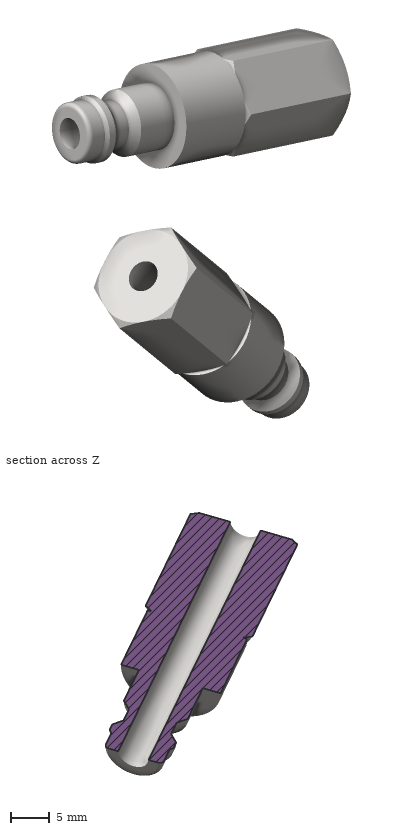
import cadquery as cq
import math

overall_length = 42.0
hex_length = 18.0
collar_length = 10.0
hex_across_flats = 13.0
hex_chamfer_angle = 30.0
bore_diameter = 4.2

collar_radius = 7.0
stem_radius = 4.5
neck_radius = 3.35
tip_radius = 4.1
tip_fillet = 0.6

tip_end = 2.6
flange_start = 3.1
flange_end = 4.1
stem_start = 8.4
neck_depth = stem_radius - neck_radius
neck_start = flange_end + neck_depth
neck_end = stem_start - neck_depth
hex_start = overall_length - hex_length
collar_start = hex_start - collar_length

hex_sides = 6
hex_across_corners = hex_across_flats / math.cos(math.pi / hex_sides)
hex_chamfer_height = (hex_across_corners - hex_across_flats) / 2 * math.tan(math.radians(hex_chamfer_angle))


def revolve_about_y(profile):
    """Turn a half profile drawn as X = radius, Y = axial position."""
    return profile.close().revolve(360, (0, 0, 0), (0, 1, 0))


def make_turned_body():
    """Collar, stem, locking groove, flange and rounded tip."""
    fillet_midpoint_inset = tip_fillet * (1 - math.sqrt(0.5))
    profile = (
        cq.Workplane("XY")
        .lineTo(tip_radius - tip_fillet, 0)
        .threePointArc(
            (tip_radius - fillet_midpoint_inset, fillet_midpoint_inset),
            (tip_radius, tip_fillet),
        )
        .lineTo(tip_radius, tip_end)
        .lineTo(stem_radius, flange_start)
        .lineTo(stem_radius, flange_end)
        .lineTo(neck_radius, neck_start)
        .lineTo(neck_radius, neck_end)
        .lineTo(stem_radius, stem_start)
        .lineTo(stem_radius, collar_start)
        .lineTo(collar_radius, collar_start)
        .lineTo(collar_radius, hex_start)
        .lineTo(0, hex_start)
    )
    return revolve_about_y(profile)


def make_hexagon():
    """Hexagon with two corners on the X axis and both ends chamfered by a cone."""
    flat_radius = hex_across_flats / 2
    corner_radius = hex_across_corners / 2
    prism = (
        cq.Workplane("XZ", origin=(0, hex_start, 0))
        .polygon(hex_sides, hex_across_corners)
        .extrude(-hex_length)
    )
    envelope = revolve_about_y(
        cq.Workplane("XY")
        .moveTo(0, hex_start)
        .lineTo(flat_radius, hex_start)
        .lineTo(corner_radius, hex_start + hex_chamfer_height)
        .lineTo(corner_radius, overall_length - hex_chamfer_height)
        .lineTo(flat_radius, overall_length)
        .lineTo(0, overall_length)
    )
    return prism.intersect(envelope)


def make_bore():
    """Through bore along the whole part."""
    return cq.Workplane("XZ").circle(bore_diameter / 2).extrude(-overall_length)


result = make_turned_body().union(make_hexagon()).cut(make_bore())